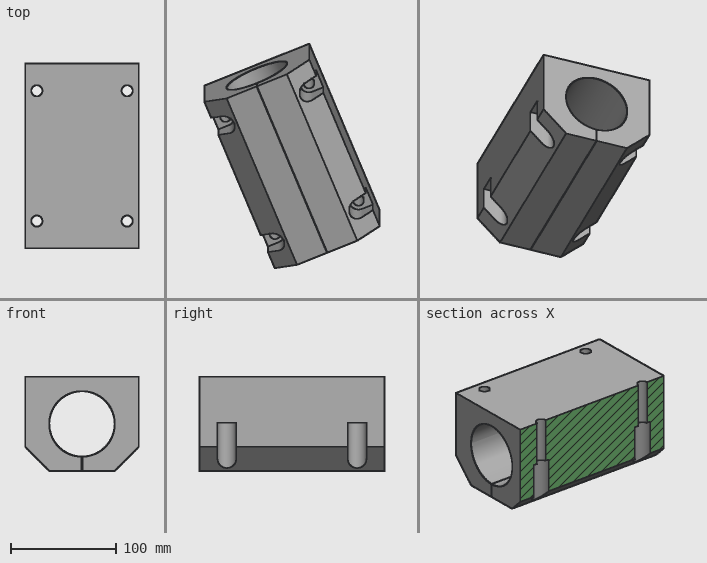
import cadquery as cq

width = 108.0
length = 176.0
height = 90.0
corner_chamfer = 23.0

bore_diameter = 62.0
bore_edge_chamfer = 0.4
bore_height = height / 2
slit_width = 0.5

hole_diameter = 10.4
hole_spacing_x = 85.9
hole_spacing_y = 123.9
recess_width = 18.0
recess_top = height - 44.0


def housing_block():
    """Rectangular block with its two lower long edges chamfered."""
    block = cq.Workplane("XY").box(width, length, height, centered=(True, True, False))
    return block.edges("|Y and <Z").chamfer(corner_chamfer)


def bore():
    """Through bore, widened by a small chamfer at both ends."""
    radius = bore_diameter / 2
    mouth_radius = radius + bore_edge_chamfer
    half_length = length / 2
    profile = [
        (0, -half_length),
        (mouth_radius, -half_length),
        (radius, -half_length + bore_edge_chamfer),
        (radius, half_length - bore_edge_chamfer),
        (mouth_radius, half_length),
        (0, half_length),
    ]
    solid = cq.Workplane("XY").polyline(profile).close().revolve(360, (0, 0), (0, 1))
    return solid.translate((0, 0, bore_height))


def slit():
    """Narrow cut joining the bore to the bottom face."""
    return cq.Workplane("XY").box(slit_width, length, bore_height, centered=(True, True, False))


def mounting_cut(side, y):
    """Through hole with a round-ended recess running out of one side (-1 or 1)."""
    x = side * hole_spacing_x / 2
    hole = cq.Workplane("XY").center(x, y).circle(hole_diameter / 2).extrude(height)
    round_end = cq.Workplane("XY").center(x, y).circle(recess_width / 2).extrude(recess_top)
    opening_length = width / 2 - abs(x)
    opening = (
        cq.Workplane("XY")
        .center(x + side * opening_length / 2, y)
        .rect(opening_length, recess_width)
        .extrude(recess_top)
    )
    return hole.union(round_end).union(opening)


result = housing_block().cut(bore()).cut(slit())
for side in (-1, 1):
    for y in (-hole_spacing_y / 2, hole_spacing_y / 2):
        result = result.cut(mounting_cut(side, y))